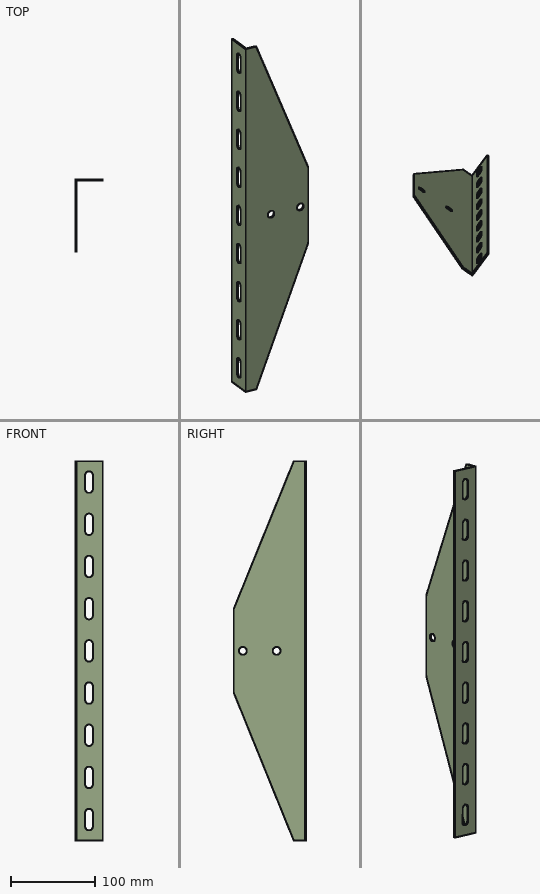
import cadquery as cq

height = 450.0
flange_width = 33.0
web_depth = 86.0
thickness = 2.0

end_depth = 15.0
nose_height = 100.0

slot_count = 9
slot_pitch = height / slot_count
slot_width = 9.0
slot_length = 25.0

hole_diameter = 9.0
hole_spacing = 40.0
hole_edge_distance = 11.0



def make_web():
    """Plate across X, tapering from both ends to a straight nose on the -Y side."""
    outline = [
        (0, -height / 2),
        (-end_depth, -height / 2),
        (-web_depth, -nose_height / 2),
        (-web_depth, nose_height / 2),
        (-end_depth, height / 2),
        (0, height / 2),
    ]
    return cq.Workplane("YZ").polyline(outline).close().extrude(thickness)


def make_flange():
    """Rectangular strip along the straight back edge of the web."""
    return cq.Workplane("XY").box(flange_width, thickness, height).translate(
        (flange_width / 2, -thickness / 2, 0)
    )


def make_slots():
    """Cutters for the column of upright slots through the flange."""
    return (
        cq.Workplane("XZ")
        .center(flange_width / 2, 0)
        .rarray(4.5, slot_pitch, 1, slot_count)
        .slot2D(slot_length, slot_width, 90)
        .extrude(thickness)
    )


def make_web_holes():
    """Cutters for the two round holes through the web."""
    outer_hole_y = hole_edge_distance - web_depth
    return (
        cq.Workplane("YZ")
        .pushPoints([(outer_hole_y, 0), (outer_hole_y + hole_spacing, 0)])
        .circle(hole_diameter / 2)
        .extrude(thickness)
    )


result = make_web().union(make_flange()).cut(make_slots()).cut(make_web_holes())